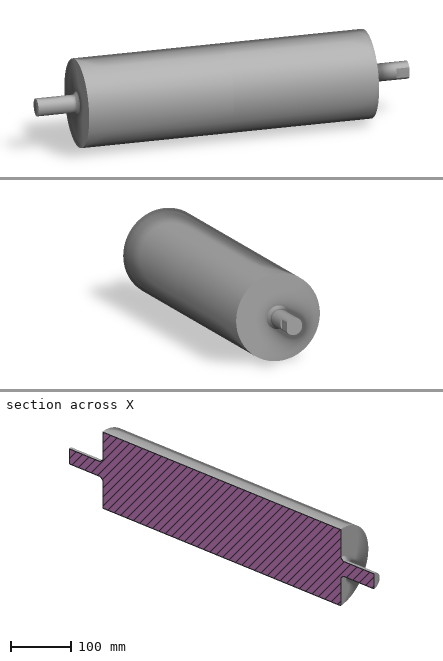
import cadquery as cq

overall_length = 640.0
roller_diameter = 150.0
roller_length = 500.0
shaft_diameter = 30.0
root_chamfer = 5.0

flat_depth = 2.5
flat_length = 22.5


def cylinder_along_y(diameter, length):
    """Solid cylinder on the Y axis, centred on the origin."""
    return cq.Workplane("XZ").circle(diameter / 2).extrude(length / 2, both=True)


def shaft_root_edges(body):
    """Circular edges where the two shaft ends meet the roller faces."""
    half_size = shaft_diameter / 2 + root_chamfer
    half_length = roller_length / 2
    margin = root_chamfer / 2
    selector = cq.selectors.BoxSelector(
        (-half_size, -half_length - margin, -half_size),
        (half_size, half_length + margin, half_size),
        boundingbox=True,
    )
    return body.edges(selector)


def flat_cutter():
    """Block that removes the flat from the rear shaft end."""
    block = cq.Workplane("XY").box(
        flat_depth, flat_length, shaft_diameter, centered=(False, False, True)
    )
    return block.translate((shaft_diameter / 2 - flat_depth, overall_length / 2 - flat_length, 0))


roller = cylinder_along_y(roller_diameter, roller_length)
shaft = cylinder_along_y(shaft_diameter, overall_length)
body = roller.union(shaft)
body = shaft_root_edges(body).chamfer(root_chamfer)
result = body.cut(flat_cutter())